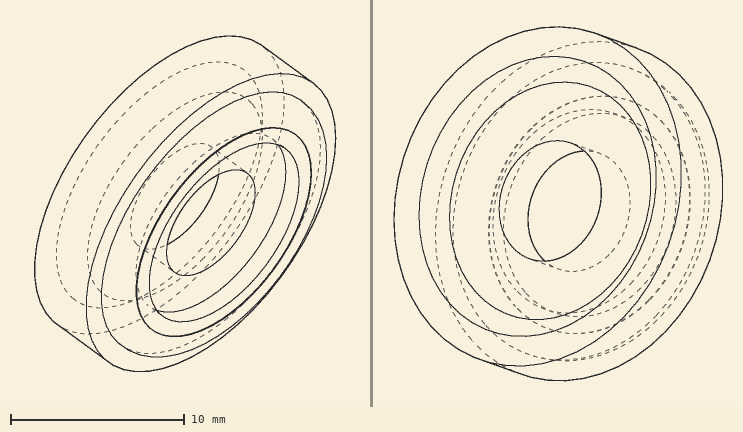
import cadquery as cq

outer_diameter = 20.0
body_thickness = 4.3
bore_diameter = 7.1

shoulder_diameter = 17.55
shoulder_height = 1.04
shoulder_round = 0.88
shoulder_end = body_thickness + shoulder_height

recess_mouth_diameter = 16.5
recess_floor_diameter = 14.0
recess_depth = 1.3

total_thickness = 5.4
lip_diameter = recess_floor_diameter
lip_wall = 1.0
counterbore_diameter = lip_diameter - 2 * lip_wall


def disc(diameter, start_x, end_x):
    """Solid cylinder about the X axis between two X positions."""
    return cq.Workplane("YZ", origin=(start_x, 0, 0)).circle(diameter / 2).extrude(end_x - start_x)


def rounded_shoulder():
    """Shoulder disc with its +X rim rounded; it starts at the -X face to merge with the body."""
    return disc(shoulder_diameter, 0, shoulder_end).faces(">X").edges().fillet(shoulder_round)


def conical_recess():
    """Frustum that narrows from the -X face down to the flat recess floor."""
    profile = [
        (0, 0),
        (0, recess_mouth_diameter / 2),
        (recess_depth, recess_floor_diameter / 2),
        (recess_depth, 0),
    ]
    return cq.Workplane("XY").polyline(profile).close().revolve(360, (0, 0, 0), (1, 0, 0))


body = disc(outer_diameter, 0, body_thickness)
lip = disc(lip_diameter, 0, total_thickness)
counterbore = disc(counterbore_diameter, body_thickness, total_thickness)
bore = disc(bore_diameter, 0, total_thickness)

blank = body.union(rounded_shoulder()).union(lip)
result = blank.cut(conical_recess()).cut(counterbore).cut(bore)